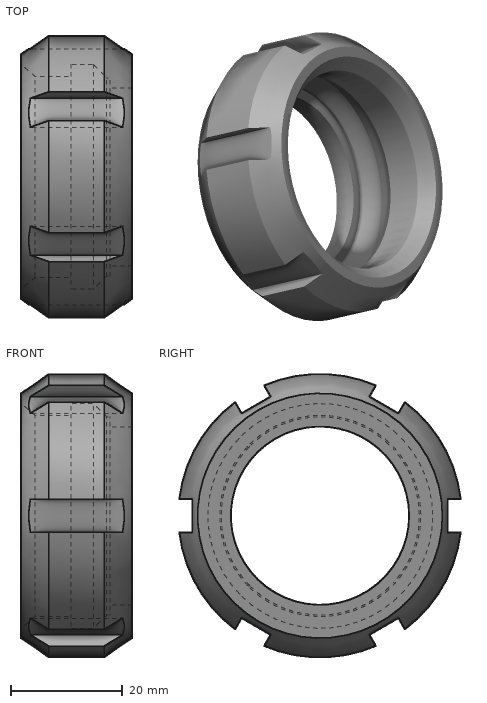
import cadquery as cq

width = 20.0
outer_diameter = 51.0
face_diameter = 44.0
land_width = 10.0

mouth_diameter = 40.42
thread_diameter = 36.19
relief_diameter = mouth_diameter
seat_diameter = 35.65
bore_diameter = 32.0

mouth_depth = 2.52
thread_depth = 9.0
relief_depth = 13.0
relief_cone_depth = relief_depth + (relief_diameter - seat_diameter) / 2
seat_depth = 16.0

slot_count = 6
slot_width = 6.0
slot_floor_radius = 23.0


def revolve_about_x(outline):
    """Turn a closed outline of (x, radius) points about the X axis."""
    return cq.Workplane("XY").polyline(outline).close().revolve(360, (0, 0, 0), (1, 0, 0))


def make_body():
    """Solid disc with a cylindrical land and a conical flank on each side."""
    outline = [
        (-width / 2, 0),
        (-width / 2, face_diameter / 2),
        (-land_width / 2, outer_diameter / 2),
        (land_width / 2, outer_diameter / 2),
        (width / 2, face_diameter / 2),
        (width / 2, 0),
    ]
    return revolve_about_x(outline)


def make_bore():
    """Mouth cone, thread bore, undercut relief, seat and through bore as one turned solid."""
    left = -width / 2
    outline = [
        (left, 0),
        (left, mouth_diameter / 2),
        (left + mouth_depth, thread_diameter / 2),
        (left + thread_depth, thread_diameter / 2),
        (left + thread_depth, relief_diameter / 2),
        (left + relief_depth, relief_diameter / 2),
        (left + relief_cone_depth, seat_diameter / 2),
        (left + seat_depth, seat_diameter / 2),
        (left + seat_depth, bore_diameter / 2),
        (width / 2, bore_diameter / 2),
        (width / 2, 0),
    ]
    return revolve_about_x(outline)


def make_slot_cutter(angle):
    """Block that cuts one flat-floored slot, turned about X from the +Y direction."""
    block_height = outer_diameter / 2
    block = cq.Workplane("XY").box(width, block_height, slot_width)
    block = block.translate((0, slot_floor_radius + block_height / 2, 0))
    return block.rotate((0, 0, 0), (1, 0, 0), angle)


result = make_body().cut(make_bore())
for index in range(slot_count):
    result = result.cut(make_slot_cutter(index * 360 / slot_count))